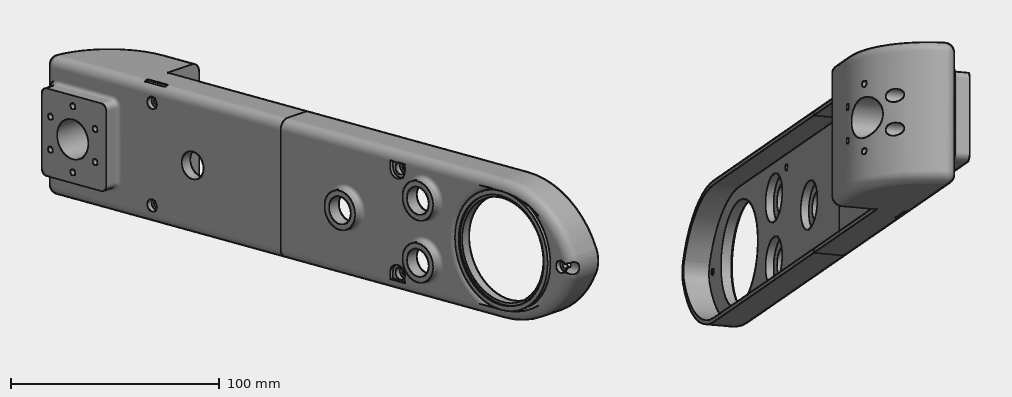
import cadquery as cq
import math


arm_half_height = 35.0
arm_thickness = 19.0
edge_radius = 5.0
rear_end_x = -25.5
joint_x = 126.5
ring_x = 269.0
tip_x = 314.5
tip_side_radius = 48.2

block_depth = 41.8
block_end_x = 36.7

pad_left_x = -20.0
pad_right_x = 21.7
pad_height = 44.0
pad_rise = 8.0
pad_corner_radius = 3.5
foot_radius = 2.0
hub_bore_diameter = 20.0
pad_hole_diameter = 3.0
pad_hole_circle_radius = 16.5
pad_hole_count = 6
rear_counterbore_diameter = 6.5
rear_counterbore_floor_y = arm_thickness

cable_hole_diameter = 14.0
cable_hole_x = 70.0
boss_places = [(169.5, 0), (219.7, 15.5), (219.7, -15.5)]
boss_radius = 10.0
boss_rise = 5.0
boss_relief_y = 2.0

screw_hole_diameter = 3.0
screw_head_diameter = 6.0
screw_head_depth = 3.0
rear_screw_x = 43.8
rear_screw_z = 25.8
front_screw_x = 202.0
front_screw_z = 26.5
front_screw_pocket_radius = 4.8
front_screw_pocket_depth = 2.0
tip_screw_x = 307.3
tip_channel_y = 2.5

floor_y = 6.0
wall = 2.0

notch_end_x = 49.2
notch_start_y = 2.7

collar_radius = 30.0
groove_radius = 3.0
ring_bore_radius = 27.5
ring_lip_radius = 26.0
ring_lip_start_y = 1.0


def y_cylinder(x, z, diameter, y_start, y_end):
    """Cylinder along Y between two depths."""
    return cq.Workplane(cq.Solid.makeCylinder(
        diameter / 2, y_end - y_start, cq.Vector(x, y_start, z), cq.Vector(0, 1, 0)))


def screw_hole(x, z, seat_y):
    """Through hole with a flat-bottomed head recess sunk from seat_y."""
    head = y_cylinder(x, z, screw_head_diameter, 0, seat_y + screw_head_depth)
    return y_cylinder(x, z, screw_hole_diameter, 0, arm_thickness).union(head)


def rear_blank():
    """Arm half with the quarter-round shoulder block, rounded on its outer edges."""
    arc_end_x = rear_end_x + block_depth
    lift = block_depth * math.sqrt(0.5)
    side = (
        cq.Workplane("XY", origin=(0, 0, -arm_half_height))
        .moveTo(joint_x, 0)
        .lineTo(rear_end_x, 0)
        .threePointArc((arc_end_x - lift, lift), (arc_end_x, block_depth))
        .lineTo(block_end_x, block_depth)
        .lineTo(block_end_x, arm_thickness)
        .lineTo(joint_x, arm_thickness)
        .close()
        .extrude(2 * arm_half_height)
    )
    front_edges = side.faces("<Y").edges("not >X")
    block_edges = side.edges("%CIRCLE").add(side.faces(">Y").edges("|X"))
    return side.newObject(front_edges.vals() + block_edges.vals()).fillet(edge_radius)


def tip_outline(inset):
    """Face outline of the front arm half, moved inward by inset except at the joint."""
    half = arm_half_height - inset
    side_radius = tip_side_radius - inset
    tip = tip_x - inset - ring_x
    drop = side_radius - half
    nose_radius = (side_radius**2 - tip**2 - drop**2) / (2 * (side_radius - tip))
    nose_x = tip - nose_radius
    tangent_angle = math.atan2(drop, nose_x)
    tangent = (
        ring_x + nose_x + nose_radius * math.cos(tangent_angle),
        nose_radius * math.sin(tangent_angle),
    )
    middle_angle = (tangent_angle + math.pi / 2) / 2
    middle = (
        ring_x + side_radius * math.cos(middle_angle),
        side_radius * math.sin(middle_angle) - drop,
    )
    return (
        cq.Workplane("XZ")
        .moveTo(joint_x, -half)
        .lineTo(ring_x, -half)
        .threePointArc((middle[0], -middle[1]), (tangent[0], -tangent[1]))
        .threePointArc((ring_x + tip, 0), tangent)
        .threePointArc(middle, (ring_x, half))
        .lineTo(joint_x, half)
        .close()
    )


def hub_pad():
    """Rounded rectangular pad on the front face, with a concave foot."""
    length = pad_right_x - pad_left_x
    middle_x = (pad_left_x + pad_right_x) / 2
    base = cq.Workplane("XZ").center(middle_x, 0)
    foot_length = length + 2 * foot_radius
    foot_height = pad_height + 2 * foot_radius
    bed_margin = 4 * foot_radius
    bed = base.rect(length + bed_margin, pad_height + bed_margin).extrude(-foot_radius)
    pad = base.rect(length, pad_height).extrude(pad_rise).edges("|Y").fillet(pad_corner_radius)
    root = cq.selectors.BoxSelector(
        (pad_left_x - foot_radius / 2, -foot_radius / 2, -pad_height / 2 - foot_radius / 2),
        (pad_right_x + foot_radius / 2, foot_radius / 2, pad_height / 2 + foot_radius / 2),
    )
    foot = (
        base.workplane(offset=-foot_radius)
        .rect(foot_length, foot_height)
        .extrude(foot_radius + pad_rise)
        .edges("|Y")
        .fillet(pad_corner_radius + foot_radius)
    )
    return bed.union(pad).edges(root).edges("not(<X or >X)").fillet(foot_radius).intersect(foot)


def boss(x, z):
    """Round boss on the front face, with a concave foot."""
    foot_end = boss_radius + foot_radius
    sag = foot_radius * (1 - math.sqrt(0.5))
    return (
        cq.Workplane("XY", origin=(x, 0, z))
        .lineTo(0, -boss_rise)
        .lineTo(boss_radius, -boss_rise)
        .lineTo(boss_radius, -foot_radius)
        .threePointArc((boss_radius + sag, -sag), (foot_end, 0))
        .close()
        .revolve(360, (0, 0), (0, 1))
    )


def ring_opening():
    """Stepped bore and the round-walled groove around its collar, kept inside the flat front face."""
    groove_end = collar_radius + groove_radius
    sag = groove_radius * (1 - math.sqrt(0.5))
    groove = (
        cq.Workplane("XY", origin=(ring_x, 0, 0))
        .moveTo(collar_radius, 0)
        .lineTo(groove_end, 0)
        .threePointArc((collar_radius + sag, sag), (collar_radius, groove_radius))
        .close()
        .revolve(360, (0, 0), (0, 1))
    )
    bore = y_cylinder(ring_x, 0, 2 * ring_bore_radius, 0, ring_lip_start_y)
    lip = y_cylinder(ring_x, 0, 2 * ring_lip_radius, 0, floor_y)
    return groove.intersect(tip_outline(edge_radius).extrude(-floor_y)).union(bore).union(lip)


def front_screw_pocket(side):
    """U-shaped recess around a front screw, ending at the rounded edge."""
    flat_edge = arm_half_height - edge_radius
    z = side * front_screw_z
    round_end = y_cylinder(front_screw_x, z, 2 * front_screw_pocket_radius, 0, front_screw_pocket_depth)
    straight = cq.Workplane("XY").box(
        2 * front_screw_pocket_radius, front_screw_pocket_depth, flat_edge - front_screw_z,
        centered=(True, False, False),
    ).translate((front_screw_x, 0, front_screw_z))
    if side < 0:
        straight = straight.mirror("XY")
    flat_face = tip_outline(edge_radius).extrude(-arm_thickness)
    return round_end.union(straight).intersect(flat_face)


def tip_notch():
    """Round channel from the tip screw out through the nose."""
    radius = screw_head_diameter / 2
    return cq.Workplane(cq.Solid.makeCylinder(
        radius, tip_x - tip_screw_x, cq.Vector(tip_screw_x, tip_channel_y, 0), cq.Vector(1, 0, 0)))


def rear_cavity():
    """Hollow in the back of the rear half, open towards the front half."""
    return cq.Workplane("XY").box(
        joint_x - block_end_x, arm_thickness - floor_y, 2 * (arm_half_height - wall),
        centered=(False, False, True),
    ).translate((block_end_x, floor_y, 0))


def side_notch(side):
    """Shallow flat recess in the rounded long edge beside the shoulder block."""
    run = edge_radius - notch_start_y
    depth = edge_radius - math.sqrt(edge_radius**2 - run**2)
    middle_z = side * (arm_half_height - depth / 2)
    return cq.Workplane("XY").box(notch_end_x - block_end_x, run, depth).translate(
        ((block_end_x + notch_end_x) / 2, notch_start_y + run / 2, middle_z))


def front_cavity():
    """Hollow in the back of the front half, following its outline."""
    return tip_outline(wall).extrude(-arm_thickness).cut(tip_outline(wall).extrude(-floor_y))


def make_rear_arm():
    """Rear half with the shoulder block, hub pad and their holes."""
    body = rear_blank().cut(rear_cavity()).union(hub_pad())
    body = body.cut(y_cylinder(0, 0, hub_bore_diameter, -pad_rise, block_depth))
    for index in range(pad_hole_count):
        angle = math.radians(90 + 360 / pad_hole_count * index)
        x = pad_hole_circle_radius * math.cos(angle)
        z = pad_hole_circle_radius * math.sin(angle)
        body = body.cut(y_cylinder(x, z, pad_hole_diameter, -pad_rise, block_depth))
        if x < -pad_hole_diameter:
            body = body.cut(y_cylinder(x, z, rear_counterbore_diameter, rear_counterbore_floor_y, block_depth))
    body = body.cut(y_cylinder(cable_hole_x, 0, cable_hole_diameter, 0, arm_thickness))
    for side in (1, -1):
        body = body.cut(screw_hole(rear_screw_x, side * rear_screw_z, 0))
        body = body.cut(side_notch(side))
    return body


def make_front_arm():
    """Front half with the bosses, ring opening and screw recesses."""
    body = tip_outline(0).extrude(-arm_thickness)
    body = body.faces("<Y").edges("not <X").fillet(edge_radius)
    body = body.cut(front_cavity())
    for x, z in boss_places:
        body = body.union(boss(x, z))
        body = body.cut(y_cylinder(x, z, cable_hole_diameter, -boss_rise, floor_y))
        body = body.cut(y_cylinder(x, z, 2 * (boss_radius + foot_radius), boss_relief_y, floor_y))
    body = body.cut(ring_opening())
    for side in (1, -1):
        body = body.cut(front_screw_pocket(side))
        body = body.cut(screw_hole(front_screw_x, side * front_screw_z, front_screw_pocket_depth))
    body = body.cut(screw_hole(tip_screw_x, 0, 0)).cut(tip_notch())
    return body


rear_arm = make_rear_arm()
front_arm = make_front_arm()
result = cq.Compound.makeCompound([rear_arm.val(), front_arm.val()])